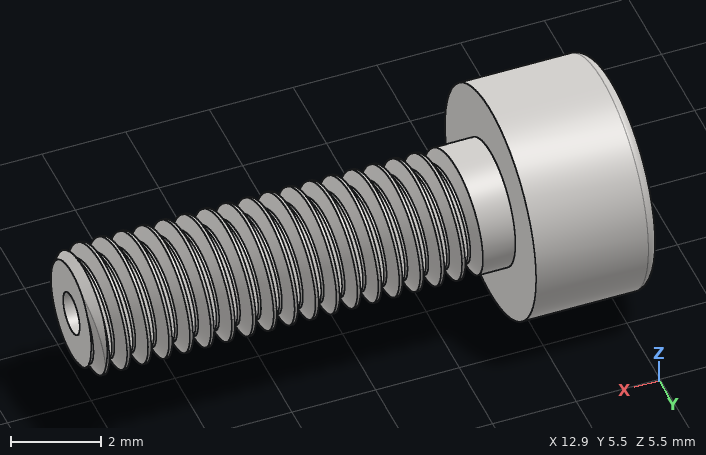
import cadquery as cq
import math

TOTAL_LENGTH = 12.93

HEAD_DIAMETER = 5.5
HEAD_LENGTH = 2.92
HEAD_EDGE_RADIUS = 0.25

SOCKET_ACROSS_FLATS = 2.52
SOCKET_DEPTH = 1.29
VENT_DIAMETER = 1.0

SHANK_DIAMETER = 3.0
TIP_CHAMFER = 0.26

THREAD_PITCH = SHANK_DIAMETER / 6
THREAD_START = 3.79
ROOT_DIAMETER = 2.38
ROOT_WIDTH = 0.06
FLANK_ANGLE = 30.0
CUTTER_OVERLAP = 0.01


def make_head():
    head = cq.Workplane("YZ").circle(HEAD_DIAMETER / 2).extrude(HEAD_LENGTH)
    return head.faces("<X").edges().fillet(HEAD_EDGE_RADIUS)


def make_shank():
    shank = (
        cq.Workplane("YZ", origin=(HEAD_LENGTH, 0, 0))
        .circle(SHANK_DIAMETER / 2)
        .extrude(TOTAL_LENGTH - HEAD_LENGTH)
    )
    return shank.faces(">X").edges().chamfer(TIP_CHAMFER)


def make_turn_cutter():
    """Sweep one turn of the groove about Z, then turn it onto X so it starts on the -Z side."""
    root_radius = ROOT_DIAMETER / 2
    outer_radius = SHANK_DIAMETER / 2 + CUTTER_OVERLAP
    root_half = ROOT_WIDTH / 2
    outer_half = root_half + (outer_radius - root_radius) * math.tan(math.radians(FLANK_ANGLE))

    helix = cq.Wire.makeHelix(THREAD_PITCH, THREAD_PITCH, root_radius)
    groove = (
        cq.Workplane("XZ")
        .polyline([
            (root_radius, -root_half),
            (root_radius, root_half),
            (outer_radius, outer_half),
            (outer_radius, -outer_half),
        ])
        .close()
        .sweep(cq.Workplane(obj=helix), isFrenet=True)
    )
    return groove.rotate((0, 0, 0), (0, 1, 0), 90)


def cut_thread(shank):
    """Cut the groove turn by turn, running out through the tip."""
    turn_cutter = make_turn_cutter()
    turn_count = math.ceil((TOTAL_LENGTH - THREAD_START) / THREAD_PITCH) + 1
    for turn in range(turn_count):
        turn_start = THREAD_START + turn * THREAD_PITCH
        shank = shank.cut(turn_cutter.translate((turn_start, 0, 0)))
    return shank


def make_socket():
    """Hexagonal socket with flats facing +Z and -Z."""
    across_corners = SOCKET_ACROSS_FLATS / math.cos(math.pi / 6)
    return cq.Workplane("YZ").polygon(6, across_corners).extrude(SOCKET_DEPTH)


def make_vent():
    return cq.Workplane("YZ").circle(VENT_DIAMETER / 2).extrude(TOTAL_LENGTH)


threaded_shank = cut_thread(make_shank())
result = make_head().union(threaded_shank).cut(make_socket()).cut(make_vent())